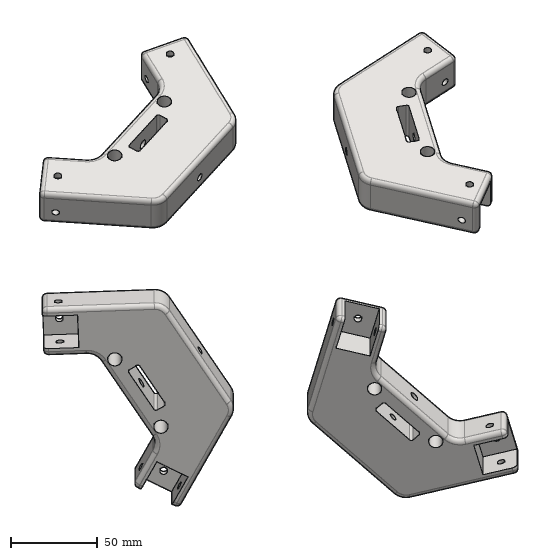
import cadquery as cq
import math

height = 25.0
total_width = 146.7
total_depth = 75.2
arm_angle = 30.0
arm_width = 30.0
bar_depth = 50.0
bend_radius = 10.0
edge_radius = 3.0

pocket_size = 20.4
pocket_hole_dia = 4.4
hole_inset = 9.5
hole_height = 10.0

slot_width = 7.5
slot_length = 29.9
slot_corner_radius = 1.5
slot_inset = 36.4
round_hole_dia = 8.2
round_hole_inset = 42.5
round_hole_spacing = 50.0
inner_wall_hole_dia = 5.5

cos_arm = math.cos(math.radians(arm_angle))
sin_arm = math.sin(math.radians(arm_angle))
tan_arm = sin_arm / cos_arm

corner_spacing = arm_width - 2 * edge_radius
inner_center_x = edge_radius - total_depth
outer_center_x = inner_center_x + corner_spacing * sin_arm
outer_center_y = total_width / 2 - edge_radius
inner_center_y = outer_center_y - corner_spacing * cos_arm

end_x = (inner_center_x + outer_center_x) / 2 - edge_radius * cos_arm
end_y = (inner_center_y + outer_center_y) / 2 + edge_radius * sin_arm
hole_x = end_x + hole_inset * cos_arm
hole_y = end_y - hole_inset * sin_arm


def end_corner(side):
    """Sharp corner of the arm end: side is +1 on the outer wall, -1 on the inner wall."""
    offset = side * arm_width / 2
    return end_x + offset * sin_arm, end_y + offset * cos_arm


def on_arm_wall(corner, x):
    """Point at x on the arm wall that starts at the given corner."""
    return x, corner[1] - (x - corner[0]) * tan_arm


def vertical_edges_between(x_min, x_max):
    """Selector for the upright edges whose middle lies from x_min to x_max."""
    margin = edge_radius
    zone = cq.selectors.BoxSelector(
        (x_min - margin, -total_width, 0), (x_max + margin, total_width, height)
    )
    return cq.selectors.ParallelDirSelector(cq.Vector(0, 0, 1)) & zone


def make_body():
    outer_end = end_corner(1)
    inner_end = end_corner(-1)
    half_outline = [
        on_arm_wall(outer_end, 0),
        outer_end,
        inner_end,
        on_arm_wall(inner_end, -bar_depth),
    ]
    mirrored_half = [(x, -y) for x, y in reversed(half_outline)]
    body = cq.Workplane("XY").polyline(half_outline + mirrored_half).close().extrude(height)
    body = body.edges(vertical_edges_between(-bar_depth, 0)).fillet(bend_radius)
    body = body.edges(vertical_edges_between(-total_depth, outer_end[0])).fillet(edge_radius)
    return body.faces("<Z or >Z").edges().fillet(edge_radius)


def make_arm_cut():
    """Pocket, cross hole and top hole of the +Y arm, made along X and then turned."""
    pocket = cq.Workplane("XY").box(2 * pocket_size, pocket_size, pocket_size, centered=(True, True, False))
    pocket = pocket.translate((-hole_inset, 0, 0))
    cross_hole = (
        cq.Workplane("XZ").center(0, hole_height)
        .circle(pocket_hole_dia / 2).extrude(arm_width, both=True)
    )
    top_hole = cq.Workplane("XY").circle(pocket_hole_dia / 2).extrude(height)
    cut = pocket.union(cross_hole).union(top_hole)
    return cut.rotate((0, 0, 0), (0, 0, 1), -arm_angle).translate((hole_x, hole_y, 0))


def make_bar_cuts():
    slot = (
        cq.Workplane("XY").center(-slot_inset, 0)
        .rect(slot_width, slot_length).extrude(height)
        .edges("|Z").fillet(slot_corner_radius)
    )
    half_spacing = round_hole_spacing / 2
    round_holes = (
        cq.Workplane("XY")
        .pushPoints([(-round_hole_inset, side * half_spacing) for side in (1, -1)])
        .circle(round_hole_dia / 2).extrude(height)
    )
    inner_wall_hole = (
        cq.Workplane("YZ", origin=(-bar_depth, 0, height / 2))
        .circle(inner_wall_hole_dia / 2).extrude(bar_depth - slot_inset)
    )
    outer_wall_hole = (
        cq.Workplane("YZ", origin=(-slot_inset, 0, hole_height))
        .circle(pocket_hole_dia / 2).extrude(slot_inset)
    )
    return slot.union(round_holes).union(inner_wall_hole).union(outer_wall_hole)


arm_cut = make_arm_cut()
result = make_body().cut(arm_cut).cut(arm_cut.mirror("XZ")).cut(make_bar_cuts())